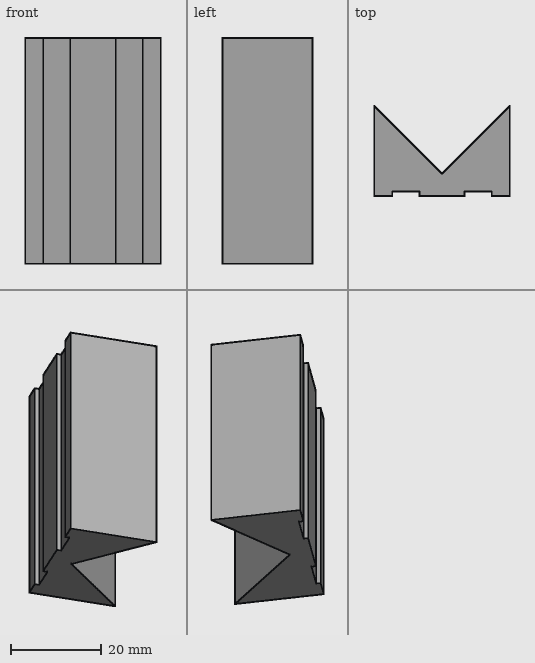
import cadquery as cq

width = 30.0
depth = 20.0
height = 50.0

vee_depth = width / 2

groove_width = 6.0
groove_depth = 1.0
edge_land = 4.0
groove_offset = width / 2 - edge_land - groove_width / 2

front_y = -depth / 2
back_y = depth / 2


def vee_block():
    """Upright block whose back is cut to a full-width V."""
    outline = [
        (-width / 2, front_y),
        (width / 2, front_y),
        (width / 2, back_y),
        (0, back_y - vee_depth),
        (-width / 2, back_y),
    ]
    return cq.Workplane("XY").polyline(outline).close().extrude(height)


def front_grooves():
    """Cutters for the two full-height grooves, mirrored about the V."""
    return (
        cq.Workplane("XY")
        .pushPoints([(side * groove_offset, front_y) for side in (-1, 1)])
        .rect(groove_width, 2 * groove_depth)
        .extrude(height)
    )


result = vee_block().cut(front_grooves())